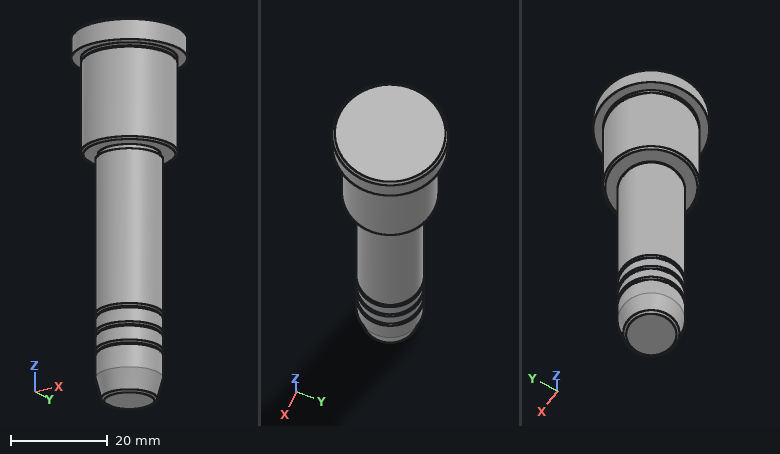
import cadquery as cq
import math

total_length = 80.0
head_radius = 12.0
head_height = 5.0
collar_radius = 10.0
collar_bottom = 54.0
shank_diameter = 14.0
shank_radius = shank_diameter / 2
edge_chamfer = 0.5
head_chamfer = 0.6

groove_depth = 0.5
neck_radius = 6.5
neck_height = 1.1
lowest_groove_center = 10.5
groove_pitch = 4.0
groove_count = 3

taper_height = 5.0
taper_angle = math.radians(15)

head_bottom = total_length - head_height
tip_radius = shank_radius - taper_height * math.tan(taper_angle)


def cylinder(radius, bottom, top):
    """Solid cylinder on the Z axis between two heights."""
    return cq.Workplane("XY").workplane(offset=bottom).circle(radius).extrude(top - bottom)


def vee_groove(surface_radius, center_height):
    """Ring cutter with a square-vee section centred on a cylindrical surface."""
    return (
        cq.Workplane("XZ")
        .center(surface_radius, center_height)
        .polygon(4, 2 * groove_depth)
        .revolve(360, (-surface_radius, 0), (-surface_radius, 1))
    )


def make_head():
    return cylinder(head_radius, head_bottom, total_length).faces(">Z").edges().chamfer(head_chamfer)


def make_collar():
    collar = cylinder(collar_radius, collar_bottom, head_bottom)
    collar = collar.faces("<Z").edges().chamfer(edge_chamfer)
    return collar.cut(vee_groove(collar_radius, head_bottom - groove_depth))


def make_shank():
    shank_top = collar_bottom - neck_height
    tip = (
        cq.Workplane("XY")
        .circle(tip_radius)
        .extrude(taper_height, taper=-math.degrees(taper_angle))
        .faces("<Z")
        .edges()
        .chamfer(edge_chamfer)
    )
    shank = cylinder(shank_radius, taper_height, shank_top).union(tip)
    for index in range(groove_count):
        shank = shank.cut(vee_groove(shank_radius, lowest_groove_center + index * groove_pitch))
    return shank.union(cylinder(neck_radius, shank_top, collar_bottom))


result = make_head().union(make_collar()).union(make_shank())